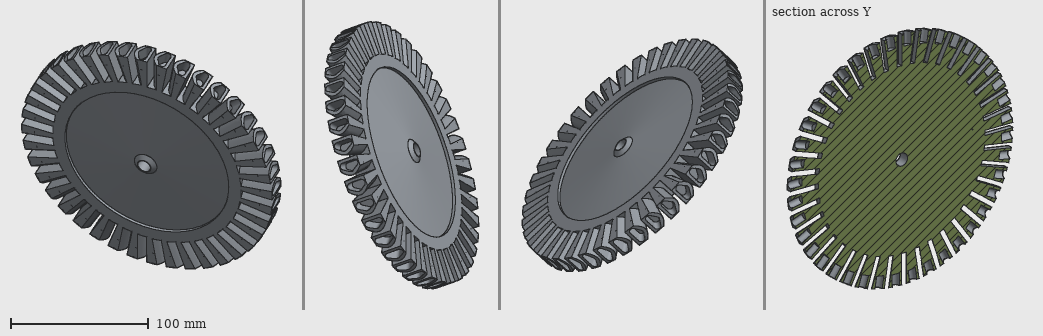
import cadquery as cq
import math

OUTER_RADIUS = 99.4
RIM_HALF_WIDTH = 8.0
WEB_RADIUS = 65.0
WEB_EDGE_HALF_WIDTH = 5.5
WEB_CENTRE_HALF_WIDTH = 10.1

HUB_HALF_WIDTH = 12.7
HUB_BASE_RADIUS = 9.0
HUB_FACE_RADIUS = 5.4
BORE_RADIUS = 5.0

BLADE_COUNT = 40
BLADE_PITCH = 360.0 / BLADE_COUNT
SLOT_FLOOR_RADIUS = 74.5
FLAT_OFFSET = 0.2
SLOT_WIDTH = 7.4
SLOT_THROAT = 2.5
ARCH_END_ANGLE = math.radians(48)

POCKET_DEPTH = 10.0
POCKET_WALL = 2.4
POCKET_HALF_LENGTH = 7.2
POCKET_CORNER_RADIUS = 2.5
POCKET_APEX_RADIUS = 3.2
POCKET_SLOPE = math.radians(31)

CUT_OVERSHOOT = 2.0


def make_disc():
    """Revolve the half section: bored hub, conical web faces and flat rim."""
    upper = [
        (BORE_RADIUS, HUB_HALF_WIDTH),
        (HUB_FACE_RADIUS, HUB_HALF_WIDTH),
        (HUB_BASE_RADIUS, WEB_CENTRE_HALF_WIDTH),
        (WEB_RADIUS, WEB_EDGE_HALF_WIDTH),
        (WEB_RADIUS, RIM_HALF_WIDTH),
        (OUTER_RADIUS, RIM_HALF_WIDTH),
    ]
    lower = [(radius, -y) for radius, y in reversed(upper)]
    return cq.Workplane("XY").polyline(upper + lower).close().revolve(360, (0, 0, 0), (0, 1, 0))


def make_slot():
    """Slot at the top of the wheel; its flat side lies on the plane X = FLAT_OFFSET."""
    inward = -math.sin(ARCH_END_ANGLE)
    along = math.cos(ARCH_END_ANGLE)
    arch_points = [(SLOT_WIDTH, -RIM_HALF_WIDTH), (SLOT_THROAT, 0), (SLOT_WIDTH, RIM_HALF_WIDTH)]
    return (
        cq.Workplane("XY", origin=(FLAT_OFFSET, 0, SLOT_FLOOR_RADIUS))
        .moveTo(0, -RIM_HALF_WIDTH)
        .lineTo(SLOT_WIDTH, -RIM_HALF_WIDTH)
        .spline(arch_points, tangents=[(inward, along), (-inward, along)])
        .lineTo(0, RIM_HALF_WIDTH)
        .close()
        .extrude(OUTER_RADIUS - SLOT_FLOOR_RADIUS + CUT_OVERSHOOT)
    )


def make_pocket():
    """Pocket in the blade whose flat side is X = FLAT_OFFSET; its apex points along -X to the arched side."""
    corner_centre = POCKET_HALF_LENGTH - POCKET_CORNER_RADIUS
    corner_reach = POCKET_CORNER_RADIUS / math.tan(POCKET_SLOPE / 2)
    base_half = corner_centre + corner_reach
    apex_depth = base_half * math.tan(POCKET_SLOPE)
    floor_radius = OUTER_RADIUS - POCKET_DEPTH
    return (
        cq.Workplane("XY", origin=(FLAT_OFFSET - POCKET_WALL, 0, floor_radius))
        .polyline([(0, -base_half), (0, base_half), (-apex_depth, 0)])
        .close()
        .extrude(POCKET_DEPTH + CUT_OVERSHOOT)
        .edges("|Z and >X")
        .fillet(POCKET_CORNER_RADIUS)
        .edges("|Z and <X")
        .fillet(POCKET_APEX_RADIUS)
    )


blade_cutters = [make_slot().val(), make_pocket().val()]
cutters = [
    cutter.rotate((0, 0, 0), (0, 1, 0), index * BLADE_PITCH)
    for index in range(BLADE_COUNT)
    for cutter in blade_cutters
]
result = cq.Workplane(make_disc().val().cut(*cutters))